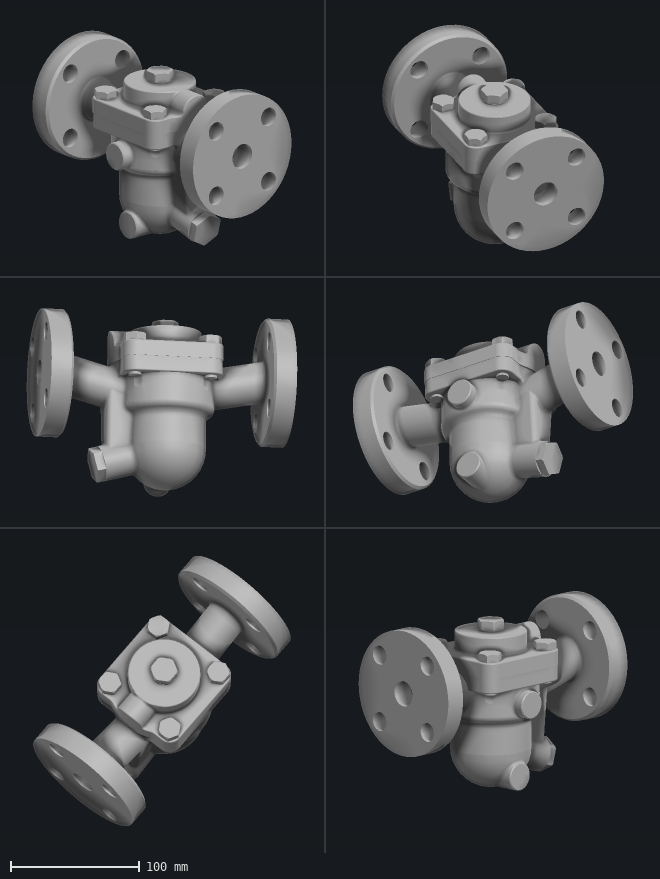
import cadquery as cq
import math


FLANGE_D = 100.0
FLANGE_T = 18.0
FLANGE_CHAMFER = 2.0
INLET_FACE_X = -95.0
OUTLET_FACE_X = 100.0
BOLT_CIRCLE_D = 75.0
BOLT_HOLE_D = 15.0
BOLT_HOLE_COUNT = 4
BOLT_HOLE_START = 45
BORE_D = 20.0

PIPE_D = 32.0
INLET_SLOPE = 11
OUTLET_SLOPE = 15
PIPE_FOOT_FILLET = 2.3
PIPE_JOINT_FILLET = 3.0

UPPER_R = 38.2
LOWER_R = 31.8
SHOULDER_TOP_Z = -25.4
SHOULDER_BOTTOM_Z = -35.9
OVERALL_HEIGHT = 139.0
DOME_CENTRE_Z = FLANGE_D / 2 - OVERALL_HEIGHT + LOWER_R

SEAM_Z = 8.4
BODY_PLATE_SIDE = 79.2
BODY_PLATE_BOTTOM_Z = -3.9
COVER_SIDE = 80.0
COVER_TOP_Z = 20.9
PLATE_CORNER_R = 9.8
PLATE_EDGE_FILLET = 1.2
BODY_LOBE_R = 43.3
COVER_LOBE_R = 44.8

CAP_D = 56.5
CAP_TOP_Z = 36.0
CAP_EDGE_FILLET = 1.2
CAP_FOOT_FILLET = 2.0
RIDGE_R = 12.3
RIDGE_TOP_Z = 35.5
RIDGE_FOOT_FILLET = 2.5

PLUG_D = 21.0
PLUG_FLATS = 19.0
PLUG_COLLAR_D = 20.0
PLUG_COLLAR_H = 1.0
PLUG_TOP_Z = 44.5
PLUG_EDGE = 0.5

BOLT_OFFSET = 30.0
BOLT_FLATS = 16.0
BOLT_HEAD_H = 6.5
BOLT_HEAD_EDGE = 1.0
BOLT_TURN = 30
BOLT_D = 10.0
BOLT_END_Z = -5.8
TAP_DRILL_BALL_Z = -10.3
TAP_DRILL_CHAMFER = 1.5

BOSS_D = 22.0
BOSS_EDGE = 0.8
UPPER_BOSS_FILLET = 2.0
LOWER_BOSS_FILLET = 2.3
UPPER_BOSS_Z = -17.0
UPPER_BOSS_FACE_Y = -46.0
LOWER_BOSS_Z = -76.5
LOWER_BOSS_FACE_Y = -33.0

DRAIN_D = 28.0
DRAIN_SLOPE = 15
DRAIN_LENGTH = 51.7
DRAIN_NUT_H = 8.0
DRAIN_COLLAR_H = 1.2
DRAIN_NUT_EDGE = 0.5
DRAIN_FILLET = 3.9

RIB_TOP_HALF_WIDTH = 15.5
RIB_BOTTOM_HALF_WIDTH = 10.5
RIB_OUTER_X = 49.1
RIB_CORNER_R = 4.3
RIB_TOP_Z = -13.6
RIB_BOTTOM_Z = -68.2
RIB_FILLET = 3.0


def cylinder_z(radius, bottom, top, x=0, y=0):
    return cq.Workplane("XY", origin=(x, y, bottom)).circle(radius).extrude(top - bottom)


def meeting_edges(solid, first, second):
    """Edges of solid that run along the surfaces of both parts it was made from."""
    touch = 0.002
    skins = [cq.Compound.makeCompound(part.faces().vals()) for part in (second, first)]

    def on_both(edge):
        spots = [cq.Vertex.makeVertex(*edge.positionAt(t).toTuple()) for t in (0.2, 0.5, 0.8)]
        return all(spot.distance(skin) < touch for spot in spots for skin in skins)

    return [edge for edge in solid.edges().vals() if on_both(edge)]


def blend(base, part, radius):
    """Join part to base and round the inside corner between them."""
    joined = base.union(part)
    return joined.newObject(meeting_edges(joined, base, part)).fillet(radius)


def hex_head(flats, round_d, height, edge):
    """Hexagon with two corners on the X axis, its corners turned down to round_d."""
    corners = flats / math.cos(math.pi / 6)
    hexagon = cq.Workplane("XY").polygon(6, corners).extrude(height)
    blank = cq.Workplane("XY").circle(round_d / 2).extrude(height).faces(">Z").chamfer(edge)
    return hexagon.intersect(blank)


def line_flange(face_x, inward, slope):
    """Flange with its pipe, both reaching from face_x towards the body axis."""
    inner_x = face_x + inward * FLANGE_T
    disc = cq.Workplane("YZ", origin=(face_x, 0, 0)).circle(FLANGE_D / 2).extrude(inward * FLANGE_T)
    inner_side = ">X" if inward > 0 else "<X"
    disc = disc.faces(inner_side).chamfer(FLANGE_CHAMFER)

    angle = math.radians(slope)
    direction = cq.Vector(inward * math.cos(angle), 0, -math.sin(angle))
    embed = FLANGE_T / 2
    start = cq.Vector(inner_x, 0, 0) - direction * embed
    reach = abs(inner_x) / math.cos(angle) + embed
    pipe = cq.Workplane(obj=cq.Solid.makeCylinder(PIPE_D / 2, reach, start, direction))
    return blend(disc, pipe, PIPE_FOOT_FILLET)


def flange_holes(face_x, inward):
    """Bolt holes and bore, all as deep as the flange."""
    plane = cq.Workplane("YZ", origin=(face_x, 0, 0))
    places = plane.polarArray(BOLT_CIRCLE_D / 2, BOLT_HOLE_START, 360, BOLT_HOLE_COUNT)
    bolts = places.circle(BOLT_HOLE_D / 2).extrude(inward * FLANGE_T)
    bore = plane.circle(BORE_D / 2).extrude(inward * FLANGE_T)
    return bolts.union(bore)


def body_shell():
    """Turned body: wide top, S-shaped shoulder of two equal arcs, round bottom."""
    step = UPPER_R - LOWER_R
    drop = SHOULDER_TOP_Z - SHOULDER_BOTTOM_Z
    sweep = 2 * math.atan(step / drop)
    shoulder_r = drop / 2 / math.sin(sweep)
    bulge = shoulder_r * (1 - math.cos(sweep / 2))
    half_drop = shoulder_r * math.sin(sweep / 2)
    profile = (
        cq.Workplane("XZ")
        .moveTo(0, COVER_TOP_Z)
        .lineTo(UPPER_R, COVER_TOP_Z)
        .lineTo(UPPER_R, SHOULDER_TOP_Z)
        .threePointArc(
            (UPPER_R - bulge, SHOULDER_TOP_Z - half_drop),
            ((UPPER_R + LOWER_R) / 2, SHOULDER_TOP_Z - drop / 2),
        )
        .threePointArc((LOWER_R + bulge, SHOULDER_BOTTOM_Z + half_drop), (LOWER_R, SHOULDER_BOTTOM_Z))
        .lineTo(LOWER_R, DOME_CENTRE_Z)
        .threePointArc(
            (LOWER_R * math.sqrt(0.5), DOME_CENTRE_Z - LOWER_R * math.sqrt(0.5)),
            (0, DOME_CENTRE_Z - LOWER_R),
        )
        .close()
    )
    return profile.revolve(360, (0, 0, 0), (0, 1, 0))


def lobed_plate(side, lobe_r, bottom, top):
    """Rounded square plate with a round lobe on the outlet side."""
    height = top - bottom
    plane = cq.Workplane("XY", origin=(0, 0, bottom))
    plate = plane.rect(side, side).extrude(height)
    lobe_window = plane.center(lobe_r / 2, 0).rect(lobe_r, side - 2 * PLATE_CORNER_R).extrude(height)
    lobe = plane.circle(lobe_r).extrude(height).intersect(lobe_window)
    return plate.union(lobe).edges("|Z").fillet(PLATE_CORNER_R)


def body_plate():
    plate = lobed_plate(BODY_PLATE_SIDE, BODY_LOBE_R, BODY_PLATE_BOTTOM_Z, SEAM_Z)
    return plate.faces("<Z").edges().fillet(PLATE_EDGE_FILLET)


def cover():
    """Plate, ridge and round cap blended together, then trimmed to the plate outline."""
    blank_side = 3 * COVER_SIDE
    plane = cq.Workplane("XY", origin=(0, 0, SEAM_Z))
    blank = plane.rect(blank_side, blank_side).extrude(COVER_TOP_Z - SEAM_Z)

    ridge_centre_z = RIDGE_TOP_Z - RIDGE_R
    ridge = (
        cq.Workplane("YZ")
        .moveTo(-RIDGE_R, SEAM_Z)
        .lineTo(RIDGE_R, SEAM_Z)
        .lineTo(RIDGE_R, ridge_centre_z)
        .threePointArc((0, RIDGE_TOP_Z), (-RIDGE_R, ridge_centre_z))
        .close()
        .extrude(blank_side / 2)
    )
    cap = cylinder_z(CAP_D / 2, SEAM_Z, CAP_TOP_Z).faces(">Z").edges().fillet(CAP_EDGE_FILLET)
    blank = blend(blank, ridge, RIDGE_FOOT_FILLET)
    blank = blend(blank, cap, CAP_FOOT_FILLET)

    outline = lobed_plate(COVER_SIDE, COVER_LOBE_R, SEAM_Z, CAP_TOP_Z)
    trimmed = blank.intersect(outline)
    plate_middle_z = (SEAM_Z + COVER_TOP_Z) / 2
    rim = [e for e in meeting_edges(trimmed, blank, outline) if e.Center().z > plate_middle_z]
    return trimmed.newObject(rim).fillet(PLATE_EDGE_FILLET)


def plug():
    collar = cylinder_z(PLUG_COLLAR_D / 2, CAP_TOP_Z, CAP_TOP_Z + PLUG_COLLAR_H)
    head_z = CAP_TOP_Z + PLUG_COLLAR_H
    head = hex_head(PLUG_FLATS, PLUG_D, PLUG_TOP_Z - head_z, PLUG_EDGE)
    return collar.union(head.translate((0, 0, head_z)))


def cover_bolt(x, y, turn):
    corners = BOLT_FLATS / math.cos(math.pi / 6)
    head = hex_head(BOLT_FLATS, corners, BOLT_HEAD_H, BOLT_HEAD_EDGE)
    head = head.rotate((0, 0, 0), (0, 0, 1), turn).translate((x, y, COVER_TOP_Z))
    return head.union(cylinder_z(BOLT_D / 2, BOLT_END_Z, COVER_TOP_Z, x, y))


def drill_bolt_groove(shell, x, y):
    """Round-ended groove with a chamfered rim that a bolt's drilled hole leaves in the body wall."""
    radius = BOLT_D / 2
    drill = (
        cq.Workplane("XZ")
        .moveTo(0, SEAM_Z)
        .lineTo(radius, SEAM_Z)
        .lineTo(radius, TAP_DRILL_BALL_Z)
        .threePointArc(
            (radius * math.sqrt(0.5), TAP_DRILL_BALL_Z - radius * math.sqrt(0.5)),
            (0, TAP_DRILL_BALL_Z - radius),
        )
        .close()
        .revolve(360, (0, 0, 0), (0, 1, 0))
        .translate((x, y, 0))
    )
    grooved = shell.cut(drill)
    rim = [e for e in meeting_edges(grooved, shell, drill) if e.Center().z < SEAM_Z / 2]
    return grooved.newObject(rim).chamfer(TAP_DRILL_CHAMFER)


def front_boss(z, face_y):
    boss = cq.Workplane("XZ", origin=(0, face_y, z)).circle(BOSS_D / 2).extrude(face_y)
    return boss.faces("<Y").chamfer(BOSS_EDGE)


def aim_drain(part):
    """Move a part built along +Z onto the drain axis."""
    return part.rotate((0, 0, 0), (0, 1, 0), 90 + DRAIN_SLOPE).translate((0, 0, DOME_CENTRE_Z))


def drain_branch():
    return aim_drain(cylinder_z(DRAIN_D / 2, 0, DRAIN_LENGTH))


def drain_nut():
    flats = DRAIN_D * math.cos(math.pi / 6)
    nut = hex_head(flats, DRAIN_D, DRAIN_NUT_H, DRAIN_NUT_EDGE)
    nut = nut.union(cylinder_z(DRAIN_D / 2, 0, DRAIN_COLLAR_H))
    return aim_drain(nut.translate((0, 0, DRAIN_LENGTH)))


def rib():
    """Bar whose two sides draw together downwards, with rounded outer corners."""
    bar = (
        cq.Workplane("YZ")
        .moveTo(-RIB_BOTTOM_HALF_WIDTH, RIB_BOTTOM_Z)
        .lineTo(RIB_BOTTOM_HALF_WIDTH, RIB_BOTTOM_Z)
        .lineTo(RIB_TOP_HALF_WIDTH, RIB_TOP_Z)
        .lineTo(-RIB_TOP_HALF_WIDTH, RIB_TOP_Z)
        .close()
        .extrude(RIB_OUTER_X)
    )
    return bar.faces(">X").edges("not |Y").fillet(RIB_CORNER_R)


bolt_places = [(sx * BOLT_OFFSET, sy * BOLT_OFFSET) for sx in (-1, 1) for sy in (-1, 1)]

body = body_shell()
for x, y in bolt_places:
    body = drill_bolt_groove(body, x, y)
body = blend(body, line_flange(INLET_FACE_X, 1, INLET_SLOPE), PIPE_JOINT_FILLET)
body = body.union(body_plate())
body = blend(body, line_flange(OUTLET_FACE_X, -1, OUTLET_SLOPE), PIPE_JOINT_FILLET)
body = blend(body, drain_branch(), DRAIN_FILLET)
body = blend(body, rib(), RIB_FILLET)
body = blend(body, front_boss(UPPER_BOSS_Z, UPPER_BOSS_FACE_Y), UPPER_BOSS_FILLET)
body = blend(body, front_boss(LOWER_BOSS_Z, LOWER_BOSS_FACE_Y), LOWER_BOSS_FILLET)
body = body.cut(flange_holes(INLET_FACE_X, 1)).cut(flange_holes(OUTLET_FACE_X, -1))

result = body.union(drain_nut()).union(cover()).union(plug())
for x, y in bolt_places:
    turn = 0 if x * y < 0 else BOLT_TURN
    result = result.union(cover_bolt(x, y, turn))